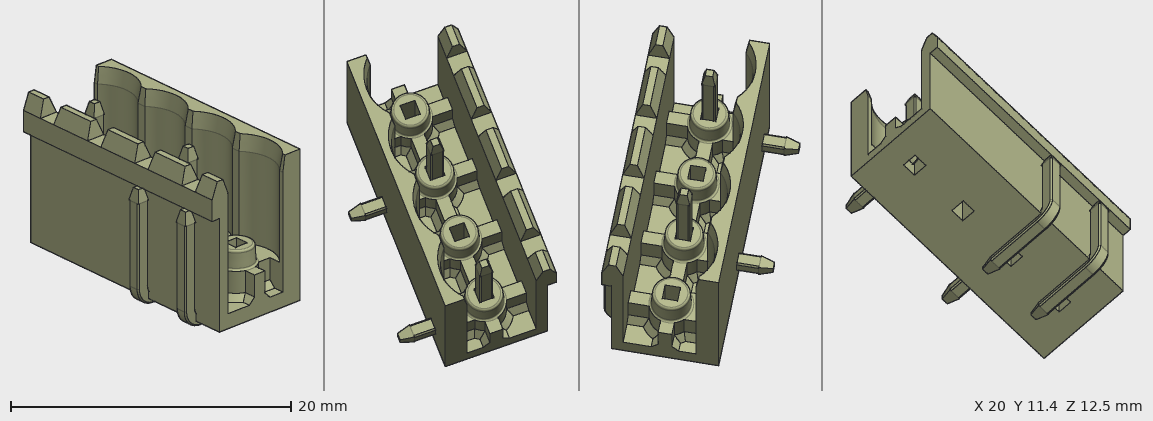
import cadquery as cq

pole_count = 4
pitch = 5.0
length = pole_count * pitch
pole_positions = [pitch * (index + 0.5) for index in range(pole_count)]

height = 12.0
floor_thickness = 1.2
outer_wall_y = 3.9
back_inner_y = 2.25
front_inner_y = 3.05
mouth_height = 1.3
shoulder_z = height - mouth_height
back_mouth_taper = 0.2
front_inner_taper = 0.52
front_outer_taper = 0.5
lip_depth = 0.7
lip_bottom_z = 9.0

rib_top_z = 3.45
rib_width = 1.0
back_rib_width = 2.25
foot_chamfer = 0.5
boss_radius = 1.6
collar_top_z = 4.95
collar_base_radius = 1.45
collar_top_radius = 1.35
collar_foot_size = 0.15
collar_round_size = 0.18
contact_hole_width = 1.12

scallop_radius = 3.1
scallop_mouth_radius = 3.32
notch_bottom_width = 1.4
notch_top_width = 1.82

contact_width = 1.0
edge_chamfer = 0.12
bend_radius = 1.0
tip_length = 1.0
tip_width = 0.55
upright_height = 8.8
tail_reach = 6.5

seated_tail_z = 2.0
seated_positions = [pole_positions[0], pole_positions[2] - (contact_hole_width - contact_width) / 2]
front_contact_y = -outer_wall_y - contact_width / 2
first_front_x = 12.0
front_positions = [first_front_x, first_front_x + pitch]
contact_places = [(x, 0, seated_tail_z) for x in seated_positions]
contact_places += [(x, front_contact_y, 0) for x in front_positions]


def make_trough():
    """U-shaped section with tapered wall tops and a lip along the front."""
    lip_y = outer_wall_y + lip_depth
    section = [
        (outer_wall_y, 0),
        (outer_wall_y, height),
        (back_inner_y + back_mouth_taper, height),
        (back_inner_y, shoulder_z),
        (back_inner_y, floor_thickness),
        (-front_inner_y, floor_thickness),
        (-front_inner_y, shoulder_z),
        (-front_inner_y - front_inner_taper, height),
        (-lip_y + front_outer_taper, height),
        (-lip_y, shoulder_z),
        (-lip_y, lip_bottom_z),
        (-outer_wall_y, lip_bottom_z),
        (-outer_wall_y, 0),
    ]
    return cq.Workplane("YZ").polyline(section).close().extrude(length)


def rib_section(width):
    """Half-width and Z points of a rib whose sides spread into a chamfered foot."""
    half = width / 2
    spread = half + foot_chamfer
    return [
        (-spread, 0),
        (-spread, floor_thickness),
        (-half, floor_thickness + foot_chamfer),
        (-half, rib_top_z),
        (half, rib_top_z),
        (half, floor_thickness + foot_chamfer),
        (spread, floor_thickness),
        (spread, 0),
    ]


def make_long_rib():
    """Rib along the contact axis through all poles."""
    return cq.Workplane("YZ").polyline(rib_section(rib_width)).close().extrude(length)


def make_cross_rib(x, width, reach):
    """Rib from the contact axis to the wall face at Y = reach."""
    rib = cq.Workplane("XZ", origin=(x, 0, 0)).polyline(rib_section(width)).close()
    return rib.extrude(-reach)


def make_boss(x):
    """Round boss with a chamfered foot, carrying a slightly tapered collar."""
    profile = (
        cq.Workplane("XZ", origin=(x, 0, 0))
        .moveTo(0, 0)
        .lineTo(boss_radius + foot_chamfer, 0)
        .lineTo(boss_radius + foot_chamfer, floor_thickness)
        .lineTo(boss_radius, floor_thickness + foot_chamfer)
        .lineTo(boss_radius, rib_top_z)
        .radiusArc((collar_base_radius, rib_top_z + collar_foot_size), collar_foot_size)
        .lineTo(collar_top_radius, collar_top_z - collar_round_size)
        .radiusArc((collar_top_radius - collar_round_size, collar_top_z), -collar_round_size)
        .lineTo(0, collar_top_z)
        .close()
    )
    return profile.revolve(360, (0, 0, 0), (0, 1, 0))


def make_scallop(x):
    """Round recess in the back wall, widening as a cone through the mouth."""
    profile = [
        (0, rib_top_z),
        (scallop_radius, rib_top_z),
        (scallop_radius, shoulder_z),
        (scallop_mouth_radius, height),
        (0, height),
    ]
    outline = cq.Workplane("XZ", origin=(x, 0, 0)).polyline(profile).close()
    round_cut = outline.revolve(360, (0, 0, 0), (0, 1, 0))
    back_half = cq.Workplane("XY").box(length, outer_wall_y, height, centered=False)
    return round_cut.intersect(back_half)


def make_notch(x):
    """Trapezoid notch through the top of the front wall."""
    profile = [
        (-notch_bottom_width / 2, shoulder_z),
        (-notch_top_width / 2, height),
        (notch_top_width / 2, height),
        (notch_bottom_width / 2, shoulder_z),
    ]
    notch = cq.Workplane("XZ", origin=(x, -front_inner_y, 0)).polyline(profile).close()
    return notch.extrude(outer_wall_y + lip_depth - front_inner_y)


def make_contact_hole(x):
    """Square hole through boss and floor."""
    hole = cq.Workplane("XY", origin=(x, 0, 0)).rect(contact_hole_width, contact_hole_width)
    return hole.extrude(collar_top_z)


def make_tip(plane):
    """Four-sided tapered tip standing on the given plane."""
    return (
        cq.Workplane(plane)
        .rect(contact_width, contact_width)
        .workplane(offset=tip_length)
        .rect(tip_width, tip_width)
        .loft()
    )


def make_contact(place):
    """L-shaped contact: upright along +Z, tail along +Y, centre lines meeting at the given place."""
    upright_end = upright_height - tip_length
    tail_end = tail_reach - tip_length
    path = (
        cq.Workplane("YZ")
        .moveTo(0, upright_end)
        .lineTo(0, bend_radius)
        .radiusArc((bend_radius, 0), -bend_radius)
        .lineTo(tail_end, 0)
    )
    section = cq.Sketch().rect(contact_width, contact_width).vertices().chamfer(edge_chamfer)
    bar = cq.Workplane("XY", origin=(0, 0, upright_end)).placeSketch(section).sweep(path)
    upright_tip = make_tip(cq.Plane((0, 0, upright_end), (1, 0, 0), (0, 0, 1)))
    tail_tip = make_tip(cq.Plane((0, tail_end, 0), (1, 0, 0), (0, 1, 0)))
    return bar.union(upright_tip).union(tail_tip).translate(place)


def make_housing(contacts):
    """Trough with its ribs, bosses, recesses and holes, hollowed to seat the contacts."""
    housing = make_trough()
    for x in pole_positions:
        housing = housing.cut(make_scallop(x)).cut(make_notch(x))
    housing = housing.union(make_long_rib())
    for x in pole_positions:
        housing = housing.union(make_cross_rib(x, back_rib_width, back_inner_y))
        housing = housing.union(make_cross_rib(x, rib_width, -front_inner_y))
        housing = housing.union(make_boss(x))
    for x in pole_positions:
        housing = housing.cut(make_contact_hole(x))
    for contact in contacts:
        housing = housing.cut(contact)
    return housing


contacts = [make_contact(place) for place in contact_places]
housing = make_housing(contacts)
result = cq.Compound.makeCompound([housing.val(), *[contact.val() for contact in contacts]])